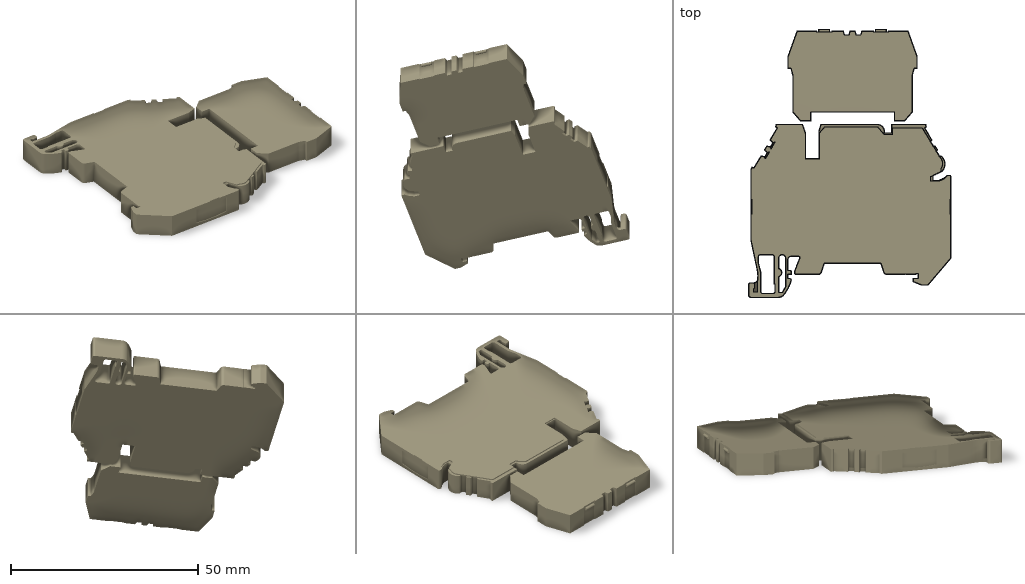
import cadquery as cq
length = 71.65
housing_thickness = 6.2
module_thickness = 6.0

housing_top = 46.3
housing_left = 0.65
housing_right = 54.1
housing_axis = (housing_left + housing_right) / 2
rim_depth = 0.35
rail_side = 6.15
rail_roof = 9.25
nick_roof = rail_side + 0.1
rail_draft = 0.2

tooth_count = 2
tooth_pitch_x = -1.5
tooth_pitch_y = -2.65
pocket_floor = 0.85

foot_pocket_floor = 0.9
window_radius = 0.5
heel_radius = 0.65
hook_radius = 0.6
throat_radius = 0.8
throat_tip_radius = 0.3
lobe_radius = 0.35
rail_corner_radius = 0.9

side_recess_depth = 0.2

module_axis = 27.8
module_top = 71.2
module_shoulder_y = 64.4
module_step_y = 61.25
module_waist_y = 59.4
module_leg_y = 49.6
module_bottom = 47.2
module_half_top = 14.8
module_half_width = 17.3
module_half_step = 16.5
module_half_waist = 16.0
module_half_foot = 13.9
module_half_gap = 11.2
groove_offset = 1.6
groove_depth = 1.0
groove_floor_width = 1.2
groove_mouth_width = 1.8
tab_offset = 7.6
tab_width = 2.95
tab_radius = 0.4
tab_height = 5.1
tab_seat_width = 4.1
tab_seat_depth = 0.2


def prism(steps, z_low, z_high):
    """Extrude a closed outline; a step is a point, or a (middle, end) pair of points for an arc."""
    sketch = cq.Workplane("XY").workplane(offset=z_low).moveTo(*steps[0])
    for step in steps[1:]:
        if isinstance(step[0], tuple):
            sketch = sketch.threePointArc(*step)
        else:
            sketch = sketch.lineTo(*step)
    return sketch.close().extrude(z_high - z_low)


def block(x_low, x_high, y_low, y_high, z_low, z_high):
    size = (x_high - x_low, y_high - y_low, z_high - z_low)
    return cq.Workplane("XY").box(*size, centered=False).translate((x_low, y_low, z_low))


def round_corners(body, corners, radius):
    """Fillet the vertical edges that stand on the given XY points."""
    for x, y in corners:
        corner = cq.selectors.NearestToPointSelector((x, y, housing_thickness / 2))
        body = body.edges(corner).fillet(radius)
    return body


def mirrored(points, axis):
    """Reflect points about the line X = axis, in reversed order so that the outline goes on."""
    return [(2 * axis - x, y) for x, y in reversed(points)]


def repeat_down_slope(points):
    return [
        (x + i * tooth_pitch_x, y + i * tooth_pitch_y)
        for i in range(tooth_count)
        for x, y in points
    ]



tooth = [(5.7, 42.05), (6.5, 41.4), (5.9, 40.3), (4.9, 40.5)]
shoulder_lip = [(7.4, housing_top), (7.25, 45.6), (7.7, 45.35)]
shoulder_end = [(1.4, 34.7), (0.9, 34.8), (housing_left, 34.25)]
left_teeth = shoulder_lip + repeat_down_slope(tooth)
left_shoulder = left_teeth + shoulder_end

spring_foot = [
    (housing_left, 15.2), (2.2, 7.75), ((2.45, 6.4), (2.45, 4.95)), ((2.15, 4.2), (1.4, 3.95)),
    (0, 3.95), (0, 0), (8.0, 0), ((8.8, 0.2), (9.4, 0.65)), ((10.6, 2.5), (11.45, 4.7)),
    (11.1, 5.1), (10.5, 5.1), (10.5, rail_side), (11.45, rail_side),
    (11.45, 7.0), (11.1, 7.25), (10.5, 7.25), (10.5, 10.95), (13.8, 10.95), (12.3, 7.1),
    (12.3, rail_side),
]
rigid_foot = [
    (41.7, rail_side), (41.7, nick_roof), (42.1, nick_roof), (42.1, rail_side),
    (44.8, rail_side), (44.8, 6.4), (45.35, 6.4), (45.35, 5.1), (44.0, 5.1), (44.0, 4.2),
    (46.3, 3.3), (47.9, 3.3), (housing_right, 10.5),
]

rail_recess = [(19.3, rail_side), (20.3, rail_roof), (35.3, rail_roof), (36.3, rail_side)]

left_and_bottom = left_shoulder + spring_foot
nose_tip = [(53.2, 32.7), (53.9, 32.7), (housing_right, 32.4)]

lower_outline = (
    [(14.4, housing_top)]
    + left_and_bottom
    + rail_recess
    + rigid_foot
    + list(reversed(nose_tip))
    + [(52.3, 31.95), (50.9, 31.3), (49.4, 31.3), (49.4, 32.6), (51.65, 33.7)]
    + [((52.5, 35.55), (51.45, 37.8))]
    + mirrored(left_teeth, housing_axis)
    + [(38.25, housing_top), (38.25, 44.0), (36.3, 44.0)]
    + [((35.75, 45.7), (34.45, housing_top))]
    + [(19.35, housing_top), (18.8, 44.4), (18.8, 37.2), (15.25, 37.2), (15.25, 43.85)]
)

upper_outline = (
    [(14.4, housing_top)]
    + left_and_bottom
    + rail_recess
    + rigid_foot
    + list(reversed(nose_tip))
    + [(52.3, 31.75), (50.9, 31.1), (48.6, 31.1), (48.6, 32.25), (51.45, 33.7)]
    + [(51.5, 34.6), ((51.9, 36.05), (51.45, 37.1))]
    + [(46.4, 45.35), (38.5, 45.35), (38.5, 43.55), (36.25, 43.55)]
    + [(34.45, 45.65), (20.4, 45.65), (19.0, 44.1), (19.0, 37.0), (15.25, 37.0), (15.25, 43.85)]
)



def shoulder_pockets():
    """Deepen each notch of the left shoulder, leaving a thin floor below."""
    pocket = [(6.5, 41.4), (7.1, 41.55), (6.0, 39.8), (5.65, 40.35), (5.9, 40.5)]
    pockets = cq.Workplane("XY")
    for i in range(tooth_count):
        shift = (i * tooth_pitch_x, i * tooth_pitch_y, 0)
        pockets = pockets.add(prism(pocket, pocket_floor, housing_thickness).translate(shift))
    return pockets.combine()


def foot_window():
    upper_corners = [(2.65, 11.4), (6.8, 11.4)]
    lower_corners = [(7.0, 1.1), (3.3, 1.1)]
    outline = upper_corners + [(6.8, 3.6), (7.0, 3.6)] + lower_corners + [(3.3, 6.65), (2.65, 9.2)]
    window = prism(outline, 0, housing_thickness)
    return round_corners(window, upper_corners + lower_corners, window_radius)


def foot_slot():
    """Round-topped slot with a bump on its left side."""
    left, right = 8.1, 9.9
    radius = (right - left) / 2
    arc_start = 10.5
    return prism(
        [
            (left, arc_start), (((left + right) / 2, arc_start + radius), (right, arc_start)),
            (right, 2.9), (9.0, 1.35), (left, 1.35), (left, 5.6), ((8.9, 6.65), (left, 7.75)),
        ],
        0, housing_thickness,
    )


def foot_hook_pocket():
    return prism(
        [(1.35, 3.95), (1.6, 3.6), (1.6, 2.5), (1.35, 2.3), (1.35, 1.5), (2.45, 1.5), (2.45, 4.95), (1.35, 4.95)],
        foot_pocket_floor, housing_thickness,
    )


def side_recess():
    """Recess in the left side face: curved below, running out at the upper face."""
    outline = (
        cq.Workplane("YZ", origin=(housing_left, 0, 0))
        .moveTo(28.4, 5.45)
        .lineTo(28.4, 1.1)
        .threePointArc((23.5, 0.7), (18.6, 1.1))
        .lineTo(18.6, 5.45)
        .lineTo(23.1, 6.1)
        .lineTo(23.1, housing_thickness)
        .lineTo(26.15, housing_thickness)
        .lineTo(26.15, 5.95)
        .close()
    )
    return outline.extrude(side_recess_depth)


def rail_roof_draft():
    """Thin wedge that gives the roof of the rail recess its draft; its ends lie inside the housing."""
    x_low, x_high = 20.1, 35.5
    outline = [(rail_roof, 0), (rail_roof - rail_draft, 0), (rail_roof, housing_thickness)]
    wedge = cq.Workplane("YZ", origin=(x_low, 0, 0)).polyline(outline).close()
    return wedge.extrude(x_high - x_low)


def make_housing():
    rim_level = housing_thickness - rim_depth
    body = prism(lower_outline, 0, rim_level).union(prism(upper_outline, rim_level, housing_thickness))
    body = round_corners(body, [(0, 0)], heel_radius)
    body = round_corners(body, [(0, 3.95)], hook_radius)
    body = round_corners(body, [(10.5, 10.95)], throat_radius)
    body = round_corners(body, [(13.8, 10.95)], throat_tip_radius)
    body = round_corners(body, [(12.3, rail_side)], lobe_radius)
    body = round_corners(body, [rail_recess[0], rail_recess[-1]], rail_corner_radius)
    body = body.union(rail_roof_draft())
    body = body.cut(shoulder_pockets())
    body = body.cut(foot_window()).cut(foot_slot()).cut(foot_hook_pocket())
    recess = side_recess()
    return body.cut(recess).cut(recess.mirror("YZ", (housing_axis, 0, 0)))



def module_groove(x_center):
    half_mouth = groove_mouth_width / 2
    half_floor = groove_floor_width / 2
    floor = module_top - groove_depth
    return prism(
        [
            (x_center - half_mouth, module_top), (x_center - half_floor, floor),
            (x_center + half_floor, floor), (x_center + half_mouth, module_top),
        ],
        0, module_thickness,
    )


def module_tab(x_center):
    """Round bar along X, half sunk into the upper edge."""
    start = (x_center - tab_width / 2, length - tab_radius, tab_height)
    return cq.Workplane("YZ", origin=start).circle(tab_radius).extrude(tab_width)


def make_module():
    half_outline = [
        (module_axis - half_width, y)
        for half_width, y in [
            (module_half_top, module_top),
            (module_half_width, module_shoulder_y),
            (module_half_width, module_step_y),
            (module_half_step, module_step_y),
            (module_half_waist, module_waist_y),
            (module_half_waist, module_leg_y),
            (module_half_foot, module_bottom),
            (module_half_gap, module_bottom),
            (module_half_gap, module_leg_y),
        ]
    ]
    body = prism(half_outline + mirrored(half_outline, module_axis), 0, module_thickness)
    seat = module_top - tab_seat_depth
    for side in (-1, 1):
        body = body.cut(module_groove(module_axis + side * groove_offset))
        x = module_axis + side * tab_offset
        half_seat = tab_seat_width / 2
        body = body.cut(block(x - half_seat, x + half_seat, seat, module_top, 0, module_thickness))
        body = body.union(module_tab(x))
    return body


housing = make_housing()
module = make_module()

result = cq.Compound.makeCompound([housing.val(), module.val()])